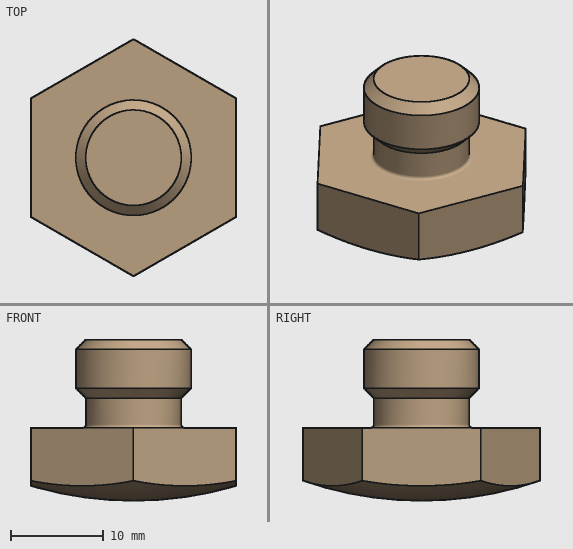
import cadquery as cq
import math

across_corners = 25.65
total_height = 17.45
head_top = 7.9
dome_rise = 2.18
collar_diameter = 12.5
neck_diameter = 10.35
neck_length = 3.2
neck_fillet = 0.35

corner_radius = across_corners / 2
dome_radius = (corner_radius**2 + dome_rise**2) / (2 * dome_rise)
collar_radius = collar_diameter / 2
neck_radius = neck_diameter / 2
chamfer = collar_radius - neck_radius
collar_bottom = head_top + neck_length
corner_angle = math.radians(90)


def hexagon_corner(index):
    angle = corner_angle + index * math.pi / 3
    return corner_radius * math.cos(angle), corner_radius * math.sin(angle)


def domed_hex_head():
    prism = cq.Workplane("XY").polyline([hexagon_corner(i) for i in range(6)]).close().extrude(head_top)
    ball = cq.Workplane("XY").sphere(dome_radius).translate((0, 0, dome_radius))
    return prism.intersect(ball)


def stem():
    """Filleted neck and double-bevelled collar, revolved about Z."""
    fillet_middle = neck_fillet * (1 - math.sqrt(0.5))
    profile = (
        cq.Workplane("XZ")
        .moveTo(0, head_top - dome_rise)
        .lineTo(neck_radius + neck_fillet, head_top - dome_rise)
        .lineTo(neck_radius + neck_fillet, head_top)
        .threePointArc(
            (neck_radius + fillet_middle, head_top + fillet_middle),
            (neck_radius, head_top + neck_fillet),
        )
        .lineTo(neck_radius, collar_bottom)
        .lineTo(collar_radius, collar_bottom + chamfer)
        .lineTo(collar_radius, total_height - chamfer)
        .lineTo(collar_radius - chamfer, total_height)
        .lineTo(0, total_height)
        .close()
    )
    return profile.revolve(360, (0, 0, 0), (0, 1, 0))


result = domed_hex_head().union(stem())